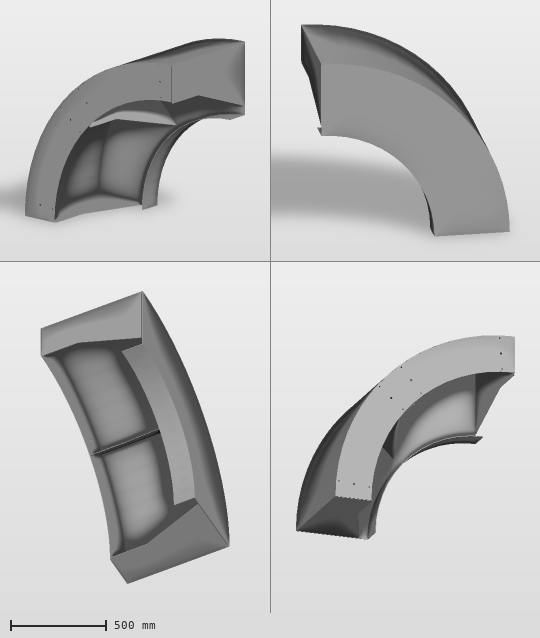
import cadquery as cq
import math

OUTER_RADIUS = 1000.0
INNER_RADIUS = 600.0
WIDTH = 600.0
SHEET = 3.0
BEND_ANGLE = 90.0
SEGMENT_COUNT = 2
SEGMENT_ANGLE = BEND_ANGLE / SEGMENT_COUNT

FRONT_INNER_RADIUS = 800.0
FRONT_OUTER_RADIUS = OUTER_RADIUS - SHEET
BACK_FACE = WIDTH - SHEET

HOLE_ANGLE = 5.0
HOLE_EDGE_DISTANCE = 15.0
SMALL_HOLE_DIAMETER = 8.0
MIDDLE_HOLE_DIAMETER = 12.0
MIDDLE_HOLE_RADIUS = (OUTER_RADIUS + FRONT_INNER_RADIUS) / 2
FRONT_HOLES = (
    (OUTER_RADIUS - HOLE_EDGE_DISTANCE, SMALL_HOLE_DIAMETER),
    (MIDDLE_HOLE_RADIUS, MIDDLE_HOLE_DIAMETER),
    (FRONT_INNER_RADIUS + HOLE_EDGE_DISTANCE, SMALL_HOLE_DIAMETER),
)

INNER_SHEET_WIDTH = 120.0

RIB_SIDE_GAP = 8.0
RIB_FRONT_RADIUS = 790.0
RIB_BACK_RADIUS = 652.0
RIB_SLOPE_START = 220.0


def polar(radius, angle):
    """Point in the XZ plane; the angle rises from -X towards +Z."""
    turn = math.radians(angle)
    return (-radius * math.cos(turn), radius * math.sin(turn))


def ring_sector(inner, outer, start, end, y_front, y_back):
    """Part of a ring around the Y axis, between two angles and two Y planes."""
    middle = (start + end) / 2
    return (
        cq.Workplane("XZ", origin=(0, y_back, 0))
        .moveTo(*polar(inner, start))
        .lineTo(*polar(outer, start))
        .threePointArc(polar(outer, middle), polar(outer, end))
        .lineTo(*polar(inner, end))
        .threePointArc(polar(inner, middle), polar(inner, start))
        .close()
        .extrude(y_back - y_front)
    )


def make_front_wall(start):
    """Front wall of one segment with a row of three holes near each end."""
    end = start + SEGMENT_ANGLE
    wall = ring_sector(FRONT_INNER_RADIUS, FRONT_OUTER_RADIUS, start, end, 0, SHEET)
    for angle in (start + HOLE_ANGLE, end - HOLE_ANGLE):
        for radius, diameter in FRONT_HOLES:
            x, z = polar(radius, angle)
            hole = cq.Workplane("XZ", origin=(x, SHEET, z)).circle(diameter / 2).extrude(SHEET)
            wall = wall.cut(hole)
    return wall


def make_back_wall(start):
    """Full-depth back wall of one segment."""
    return ring_sector(INNER_RADIUS, OUTER_RADIUS, start, start + SEGMENT_ANGLE, BACK_FACE, WIDTH)


def make_outer_sheet():
    """Curved outer sheet over the whole bend, in front of the back wall."""
    return ring_sector(OUTER_RADIUS - SHEET, OUTER_RADIUS, 0, BEND_ANGLE, 0, BACK_FACE)


def make_inner_sheet():
    """Curved strip along the inner radius, in front of the back wall."""
    y_front = BACK_FACE - INNER_SHEET_WIDTH
    return ring_sector(INNER_RADIUS, INNER_RADIUS + SHEET, 0, BEND_ANGLE, y_front, BACK_FACE)


def make_rib(angle, offset):
    """Radial plate at the given angle; offset is where its thickness starts."""
    y_front = RIB_SIDE_GAP
    y_back = WIDTH - RIB_SIDE_GAP
    rim = OUTER_RADIUS - SHEET
    outline = [
        (-rim, y_front),
        (-RIB_FRONT_RADIUS, y_front),
        (-RIB_FRONT_RADIUS, RIB_SLOPE_START),
        (-RIB_BACK_RADIUS, y_back),
        (-rim, y_back),
    ]
    return (
        cq.Workplane("XY")
        .polyline(outline)
        .close()
        .extrude(SHEET)
        .translate((0, 0, offset))
        .rotate((0, 0, 0), (0, 1, 0), angle)
    )


segment_starts = [i * SEGMENT_ANGLE for i in range(SEGMENT_COUNT)]
front_walls = [make_front_wall(start) for start in segment_starts]
back_walls = [make_back_wall(start) for start in segment_starts]
outer_sheet = make_outer_sheet()
inner_sheet = make_inner_sheet()

rib_places = ((0, 0), (SEGMENT_ANGLE, -SHEET / 2), (BEND_ANGLE, -SHEET))
ribs = [make_rib(angle, offset) for angle, offset in rib_places]

result = cq.Compound.makeCompound(
    [
        outer_sheet.val(),
        inner_sheet.val(),
        *[wall.val() for wall in front_walls],
        *[wall.val() for wall in back_walls],
        *[rib.val() for rib in ribs],
    ]
)